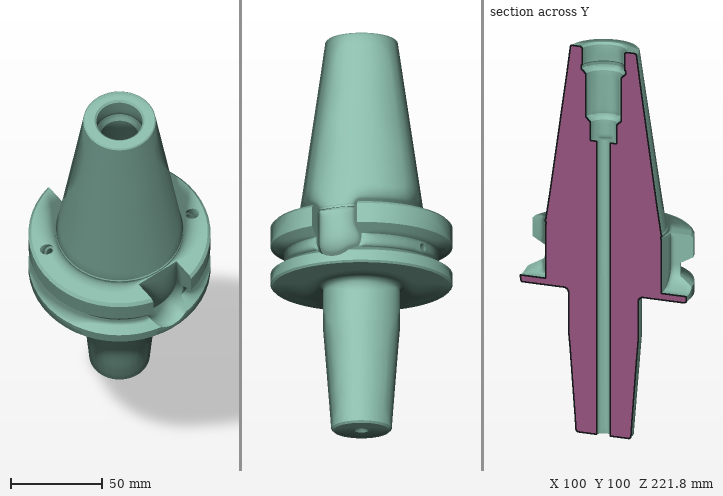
import cadquery as cq
import math

total_height = 221.8
gauge_height = 119.8
flange_top = 117.0
flange_bottom = 82.0
shank_bottom = 57.5

taper_ratio = 7 / 24
gauge_radius = 34.8
collar_radius = 35.3
collar_chamfer = 0.5
collar_bottom = 118.2
neck_radius = 34.5
taper_top_radius = gauge_radius - (total_height - gauge_height) * taper_ratio / 2
taper_top_chamfer = 0.7

flange_radius = 100.0 / 2
flange_top_chamfer = 1.5
flange_bottom_chamfer = 1.0
groove_radius = 42.5
groove_center = 97.0
groove_floor_width = 7.0
groove_flank_angle = 30
groove_flank_rise = (flange_radius - groove_radius) * math.tan(math.radians(groove_flank_angle))
groove_floor_top = groove_center + groove_floor_width / 2
groove_floor_bottom = groove_center - groove_floor_width / 2

shank_radius = 21.0
shank_fillet = 2.7
nose_taper_angle = 4.5
nose_radius = shank_radius - shank_bottom * math.tan(math.radians(nose_taper_angle))
nose_chamfer = 1.0
nose_chamfer_radius = nose_radius + nose_chamfer * math.tan(math.radians(nose_taper_angle))

bore_radius = 12.6
bore_rim_chamfer = 1.0
bore_depth = 10.5
undercut_depth = 0.7
undercut_width = 2.9
thread_radius = 10.6
thread_depth = 40.0
pilot_radius = 7.8
pilot_depth = 53.2
through_radius = 3.88

slot_width = 26.0
slot_floor_x = 34.8
slot_end_height = 86.0
slot_overrun = 2.2

inlet_angles = (70, 250)
inlet_pitch_radius = 41.7
inlet_tilt = 30
inlet_radius = 3.3
inlet_depth = 3.0
inlet_core_radius = 2.0
inlet_core_depth = 13.3
plug_radius = 2.5
plug_depth = 3.3
plug_core_radius = 1.5
plug_core_depth = 6.7


def make_body():
    """Revolve the outer profile around Z."""
    return (
        cq.Workplane("YZ")
        .moveTo(0, 0)
        .lineTo(nose_radius - nose_chamfer, 0)
        .lineTo(nose_chamfer_radius, nose_chamfer)
        .lineTo(shank_radius, shank_bottom)
        .lineTo(shank_radius, flange_bottom - shank_fillet)
        .radiusArc((shank_radius + shank_fillet, flange_bottom), shank_fillet)
        .lineTo(flange_radius - flange_bottom_chamfer, flange_bottom)
        .lineTo(flange_radius, flange_bottom + flange_bottom_chamfer)
        .lineTo(flange_radius, groove_floor_bottom - groove_flank_rise)
        .lineTo(groove_radius, groove_floor_bottom)
        .lineTo(groove_radius, groove_floor_top)
        .lineTo(flange_radius, groove_floor_top + groove_flank_rise)
        .lineTo(flange_radius, flange_top - flange_top_chamfer)
        .lineTo(flange_radius - flange_top_chamfer, flange_top)
        .lineTo(neck_radius, flange_top)
        .lineTo(neck_radius, collar_bottom)
        .lineTo(collar_radius, collar_bottom)
        .lineTo(collar_radius, gauge_height - collar_chamfer)
        .lineTo(gauge_radius, gauge_height)
        .lineTo(taper_top_radius, total_height - taper_top_chamfer)
        .lineTo(taper_top_radius - taper_top_chamfer, total_height)
        .lineTo(0, total_height)
        .close()
        .revolve(360, (0, 0, 0), (0, 1, 0))
    )


def make_bore():
    """Revolve the stepped bore that runs through the whole length."""
    bore_floor = total_height - bore_depth
    undercut_floor = bore_floor - undercut_width
    thread_floor = total_height - thread_depth
    pilot_floor = total_height - pilot_depth
    return (
        cq.Workplane("YZ")
        .moveTo(0, 0)
        .lineTo(through_radius, 0)
        .lineTo(through_radius, pilot_floor)
        .lineTo(pilot_radius, pilot_floor)
        .lineTo(pilot_radius, thread_floor - (thread_radius - pilot_radius))
        .lineTo(thread_radius, thread_floor)
        .lineTo(thread_radius, undercut_floor - (bore_radius - thread_radius))
        .lineTo(bore_radius, undercut_floor)
        .lineTo(bore_radius + undercut_depth, undercut_floor + undercut_depth)
        .lineTo(bore_radius + undercut_depth, bore_floor - undercut_depth)
        .lineTo(bore_radius, bore_floor)
        .lineTo(bore_radius, total_height - bore_rim_chamfer)
        .lineTo(bore_radius + bore_rim_chamfer, total_height)
        .lineTo(0, total_height)
        .close()
        .revolve(360, (0, 0, 0), (0, 1, 0))
    )


def make_drive_slot(side):
    """Slot with a round lower end, cut in from the side X = side * flange_radius."""
    half_width = slot_width / 2
    arc_center = slot_end_height + half_width
    return (
        cq.Workplane("YZ")
        .workplane(offset=side * slot_floor_x)
        .moveTo(-half_width, flange_top)
        .lineTo(-half_width, arc_center)
        .threePointArc((0, slot_end_height), (half_width, arc_center))
        .lineTo(half_width, flange_top)
        .close()
        .extrude(side * (flange_radius - slot_floor_x + slot_overrun))
    )


def drill(start, direction, radius, depth, lead):
    """Cylinder going `depth` inwards from `start`, extended outwards by `lead`."""
    outer_point = start - direction * lead
    return cq.Workplane(obj=cq.Solid.makeCylinder(radius, depth + lead, outer_point, direction))


def cut_coolant_inlet(body, angle):
    """Cut the slanted inlet and the radial plug hole at one angle."""
    heading = math.radians(angle)
    outward = cq.Vector(math.cos(heading), math.sin(heading), 0)
    tilt = math.radians(inlet_tilt)
    down = outward * -math.sin(tilt) + cq.Vector(0, 0, -math.cos(tilt))
    inlet = outward * inlet_pitch_radius + cq.Vector(0, 0, flange_top)
    plug = outward * groove_radius + cq.Vector(0, 0, groove_center)
    lead = inlet_radius
    body = body.cut(drill(inlet, down, inlet_radius, inlet_depth, lead))
    body = body.cut(drill(inlet, down, inlet_core_radius, inlet_core_depth, lead))
    body = body.cut(drill(plug, -outward, plug_radius, plug_depth, lead))
    return body.cut(drill(plug, -outward, plug_core_radius, plug_core_depth, lead))


result = make_body().cut(make_bore())
for slot_side in (-1, 1):
    result = result.cut(make_drive_slot(slot_side))
for inlet_angle in inlet_angles:
    result = cut_coolant_inlet(result, inlet_angle)